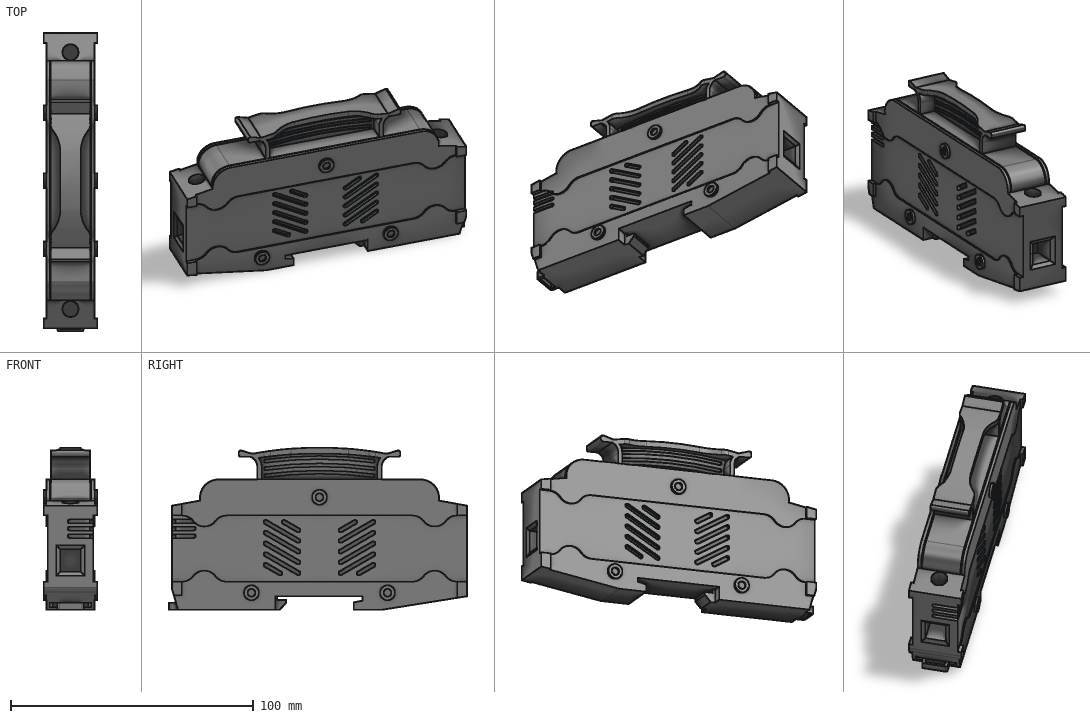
import cadquery as cq
import math


half_length = 61.0
half_width = 10.0
half_width_waist = 9.5
half_width_flange = 11.1
end_top_z = 43.0
shoulder_y = 49.5
shoulder_z = 45.1
top_z = 53.9
top_corner_radius = 7.8
flange_length = 4.2
flange_floor_z = 5.9

tail_z = 5.5
tail_slope_y = 26.2
nose_bend_top = 9.4
nose_bend_bottom = 7.5
nose_bend_y = -60.7
nose_foot_y = -58.5
rail_top_z = 5.5
rail_y_fixed = 17.8
rail_y_moving = -18.4
hook_tip_y = 14.1
hook_tip_z = 3.1
hook_root_z = 3.8

waist_low_z = 11.6
waist_high_z = 39.0
lobe_y = 47.6
lobe_half_length = 9.3
lobe_depth = 4.6

rivet_radius = 3.1
rivet_bore_radius = 1.6
rivet_bore_depth = 0.7
rivet_places = [(0, 46.5), (28.1, 7.0), (-28.1, 7.0)]

vent_width = 1.7
vent_depth = 1.6
vent_pitch = 4.5
vent_angle = 30
vent_outer_y = 22.2
vent_inner_y = 8.8
vent_short_run = 5.9
vent_top_z = 36.3
vent_count = 4

corner_vent_heights = [36.5, 33.5, 30.5]
corner_vent_width = 1.6
corner_vent_tip_x = -1.1
corner_vent_run = 9.9

window_width = 11.8
window_low_z = 14.1
window_high_z = 26.6
window_bevel = 1.6
window_bevel_depth = 1.0
window_depth = 11.1
screw_hole_y = 53.0
screw_hole_radius = 3.3
screw_hole_floor_z = 33.3

carrier_half_width = 8.1
gap_width = 0.4
gap_depth = 1.2

grip_peak_z = 67.1
grip_end_y = 27.8
grip_end_z = 64.5
grip_under_z = 64.6
pillar_y = 25.8
pillar_thickness = 1.9
pillar_flare_z = 59.2
flare_y = 25.2
flare_z = 62.8
lip_root_y = 28.5
lip_low_z = 63.2
lip_tip_y = 33.4
lip_top_z = 65.9
lip_round = 1.0
waist_half_width = 4.2
waist_end_y = 11.8
waist_bend_x = 7.0
waist_bend_y = 20.4
waist_shoulder_y = 23.3
web_half_width = 1.2
groove_depth = 0.5
groove_width = 1.4
groove_curve_radius = 170.2
groove_crown_heights = [62.9, 59.8, 56.9]
groove_end_y = 22.2

latch_half_width = 5.4
latch_height = 3.0
latch_tip_y = -62.3
latch_corner = 0.9
latch_slot_half_width = 4.1
latch_slot_start_y = -61.3
latch_slot_length = 1.9
latch_nub_y = -13.8
latch_nub_top_z = 4.1
latch_nub_edge_z = 2.8
latch_nub_foot_y = -16.4
latch_nub_back_y = -17.4
latch_guide_half_width = 8.5
latch_guide_floor_z = 1.1
latch_guide_step = 1.2
latch_guide_depth = 4.9


def block(x, y, z):
    """Box spanning the given (low, high) ranges."""
    size = [abs(b - a) for a, b in (x, y, z)]
    return cq.Workplane("XY").box(*size, centered=False).translate((min(x), min(y), min(z)))


def across(outline, half):
    """Extrude a YZ outline by the same amount to both sides of X = 0."""
    return outline.extrude(half, both=True)


def both_ends(shape):
    return shape.union(shape.mirror("XZ"))


def both_sides(shape):
    return shape.union(shape.mirror("YZ"))


def housing_outline():
    arc_mid = top_corner_radius * (1 - math.sqrt(0.5))
    arc_y = shoulder_y - top_corner_radius
    arc_z = top_z - top_corner_radius
    return (
        cq.Workplane("YZ")
        .moveTo(half_length, tail_z)
        .lineTo(half_length, end_top_z)
        .lineTo(shoulder_y, shoulder_z)
        .lineTo(shoulder_y, arc_z)
        .threePointArc((shoulder_y - arc_mid, top_z - arc_mid), (arc_y, top_z))
        .lineTo(-arc_y, top_z)
        .threePointArc((arc_mid - shoulder_y, top_z - arc_mid), (-shoulder_y, arc_z))
        .lineTo(-shoulder_y, shoulder_z)
        .lineTo(-half_length, end_top_z)
        .lineTo(-half_length, nose_bend_top)
        .tangentArcPoint((nose_bend_y, nose_bend_bottom), relative=False)
        .lineTo(nose_foot_y, 0)
        .lineTo(rail_y_moving, 0)
        .lineTo(rail_y_moving, rail_top_z)
        .lineTo(rail_y_fixed, rail_top_z)
        .lineTo(rail_y_fixed, hook_root_z)
        .lineTo(hook_tip_y, hook_tip_z)
        .lineTo(hook_tip_y, 0)
        .lineTo(tail_slope_y, 0)
        .close()
    )


def add_lobe(path, center_y, edge_z, run, depth):
    """S-shaped dip of equal arcs; run and depth carry the travel and dip signs."""
    radius = (run**2 + depth**2) / (4 * abs(depth))
    half_turn = math.atan(abs(depth / run))
    side = math.copysign(radius * math.sin(half_turn), run)
    drop = math.copysign(radius * (1 - math.cos(half_turn)), depth)
    middle_z = edge_z + depth / 2
    return (
        path.lineTo(center_y - run, edge_z)
        .threePointArc((center_y - run + side, edge_z + drop), (center_y - run / 2, middle_z))
        .threePointArc((center_y, edge_z + depth), (center_y + run / 2, middle_z))
        .threePointArc((center_y + run - side, edge_z + drop), (center_y + run, edge_z))
    )


def waist_recess():
    """Material to remove from the +X side between the wavy edges."""
    path = cq.Workplane("YZ", origin=(half_width_waist, 0, 0)).moveTo(-half_length, waist_low_z)
    for center_y in (-lobe_y, lobe_y):
        path = add_lobe(path, center_y, waist_low_z, lobe_half_length, lobe_depth)
    path = path.lineTo(half_length, waist_low_z).lineTo(half_length, waist_high_z)
    for center_y in (lobe_y, -lobe_y):
        path = add_lobe(path, center_y, waist_high_z, -lobe_half_length, -lobe_depth)
    path = path.lineTo(-half_length, waist_high_z).close()
    return path.extrude(half_width_flange)


def housing():
    body = across(housing_outline(), half_width)
    wide = across(housing_outline(), half_width_flange)
    x_range = (-half_width_flange, half_width_flange)
    inner_y = half_length - flange_length
    rear = block(x_range, (inner_y, half_length), (0, top_z))
    front = block(x_range, (-half_length, -inner_y), (flange_floor_z, top_z))
    body = body.union(wide.intersect(rear.union(front)))
    return body.cut(both_sides(waist_recess()))


def rivets():
    """Rivets through the full width with a blind bore in each head."""
    heads = across(cq.Workplane("YZ").pushPoints(rivet_places).circle(rivet_radius), half_width_flange)
    face = cq.Workplane("YZ", origin=(half_width_flange, 0, 0))
    bores = face.pushPoints(rivet_places).circle(rivet_bore_radius).extrude(-rivet_bore_depth)
    return heads.cut(both_sides(bores))


def vent(start_y, end_y, start_z):
    """Vent on the +X side, falling from start_y to the lower end_y."""
    run = start_y - end_y
    slope = math.tan(math.radians(vent_angle))
    length = run / math.cos(math.radians(vent_angle)) + vent_width
    return (
        cq.Workplane("YZ", origin=(half_width_waist, 0, 0))
        .center((start_y + end_y) / 2, start_z - run * slope / 2)
        .slot2D(length, vent_width, vent_angle)
        .extrude(-vent_depth)
    )


def side_vents():
    """Two mirrored groups on each side, the corners filled by short vents."""
    vents = vent(vent_inner_y + vent_short_run, vent_inner_y, vent_top_z)
    for row in range(vent_count):
        vents = vents.union(vent(vent_outer_y, vent_inner_y, vent_top_z - row * vent_pitch))
    last_z = vent_top_z - vent_count * vent_pitch
    vents = vents.union(vent(vent_outer_y, vent_outer_y - vent_short_run, last_z))
    return both_sides(both_ends(vents))


def corner_vent(z):
    """Vent that wraps from the -Y end onto the +X side, with rounded tips."""
    radius = corner_vent_width / 2
    z_range = (z - radius, z + radius)
    tip_x = corner_vent_tip_x + radius
    tip_y = -half_length + corner_vent_run - radius
    inner_x = half_width_waist - vent_depth
    face = block((tip_x, half_width_waist), (-half_length, -half_length + vent_depth), z_range)
    side = block((inner_x, half_width_waist), (-half_length, tip_y), z_range)
    face_tip = cq.Workplane("XZ", origin=(tip_x, -half_length, z)).circle(radius).extrude(-vent_depth)
    side_tip = cq.Workplane("YZ", origin=(inner_x, tip_y, z)).circle(radius).extrude(vent_depth)
    return face.union(side).union(face_tip).union(side_tip)


def terminal_window():
    """Funnel and blind rectangular passage for the wire at the -Y end."""
    height = window_high_z - window_low_z
    inner_width = window_width - 2 * window_bevel
    inner_height = height - 2 * window_bevel
    mouth = cq.Workplane("XZ", origin=(0, -half_length, (window_low_z + window_high_z) / 2))
    passage = mouth.rect(inner_width, inner_height).extrude(-window_depth)
    funnel = (
        mouth.rect(window_width, height)
        .workplane(offset=-window_bevel_depth)
        .rect(inner_width, inner_height)
        .loft(ruled=True)
    )
    return passage.union(funnel)


def screw_hole():
    hole = cq.Workplane("XY", origin=(0, -screw_hole_y, screw_hole_floor_z))
    return hole.circle(screw_hole_radius).extrude(top_z - screw_hole_floor_z)


def carrier_gap():
    """Thin groove that follows the raised middle, beside the fuse carrier."""
    radius = top_corner_radius - gap_depth
    core_y = shoulder_y - gap_depth
    gap_x = (carrier_half_width, carrier_half_width + gap_width)
    slab = block(gap_x, (-shoulder_y, shoulder_y), (shoulder_z, top_z))
    core = block((0, half_width), (-core_y, core_y), (0, top_z - gap_depth))
    return slab.cut(core.edges("|X and >Z").fillet(radius))


def handle_blank():
    """Arched grip with its lips, solid down to the carrier."""
    base_z = top_z - gap_depth
    rise = grip_peak_z - grip_end_z
    arch_radius = (grip_end_y**2 + rise**2) / (2 * rise)
    half = (
        cq.Workplane("YZ")
        .moveTo(0, base_z)
        .lineTo(pillar_y, base_z)
        .lineTo(pillar_y, pillar_flare_z)
        .tangentArcPoint((lip_root_y, lip_low_z), relative=False)
        .lineTo(lip_tip_y - lip_round, lip_low_z)
        .radiusArc((lip_tip_y, lip_low_z + lip_round), -lip_round)
        .lineTo(lip_tip_y, lip_top_z - lip_round)
        .radiusArc((lip_tip_y - lip_round, lip_top_z), -lip_round)
        .lineTo(grip_end_y, grip_end_z)
        .radiusArc((0, grip_peak_z), -arch_radius)
        .close()
    )
    return both_ends(across(half, carrier_half_width))


def handle_opening():
    """Finger space under the grip, between the pillars, on the +X side."""
    inner_y = pillar_y - pillar_thickness
    rise = grip_under_z - flare_z
    arch_radius = (flare_y**2 + rise**2) / (2 * rise)
    half = (
        cq.Workplane("YZ", origin=(web_half_width, 0, 0))
        .moveTo(0, top_z)
        .lineTo(inner_y, top_z)
        .lineTo(inner_y, pillar_flare_z)
        .tangentArcPoint((flare_y, flare_z), relative=False)
        .radiusArc((0, grip_under_z), -arch_radius)
        .close()
        .extrude(carrier_half_width)
    )
    return both_ends(half)


def grip_waist():
    """Side cut that narrows the grip on the +X side."""
    tilt = 2 * math.atan((waist_bend_x - waist_half_width) / (waist_bend_y - waist_end_y))
    hollow_radius = (waist_bend_y - waist_end_y) / math.sin(tilt)
    shoulder_radius = (waist_shoulder_y - waist_bend_y) / math.sin(tilt)
    rise = math.sin(tilt / 2)
    sag = 1 - math.cos(tilt / 2)
    hollow = (waist_half_width + hollow_radius * sag, waist_end_y + hollow_radius * rise)
    round_off = (carrier_half_width - shoulder_radius * sag, waist_shoulder_y - shoulder_radius * rise)
    return (
        cq.Workplane("XY", origin=(0, 0, top_z))
        .moveTo(half_width, -waist_shoulder_y)
        .lineTo(carrier_half_width, -waist_shoulder_y)
        .threePointArc((round_off[0], -round_off[1]), (waist_bend_x, -waist_bend_y))
        .threePointArc((hollow[0], -hollow[1]), (waist_half_width, -waist_end_y))
        .lineTo(waist_half_width, waist_end_y)
        .threePointArc(hollow, (waist_bend_x, waist_bend_y))
        .threePointArc(round_off, (carrier_half_width, waist_shoulder_y))
        .lineTo(half_width, waist_shoulder_y)
        .close()
        .extrude(grip_peak_z)
    )


def web_groove(crown_z):
    """Shallow arched groove with rounded ends on the +X face of the web."""
    center_z = crown_z - groove_curve_radius
    half_angle = math.asin(groove_end_y / groove_curve_radius)
    inner = groove_curve_radius - groove_width / 2
    outer = groove_curve_radius + groove_width / 2
    tip_angle = half_angle + groove_width / 2 / groove_curve_radius

    def spot(radius, angle):
        return (radius * math.sin(angle), center_z + radius * math.cos(angle))

    return (
        cq.Workplane("YZ", origin=(web_half_width, 0, 0))
        .moveTo(*spot(outer, -half_angle))
        .threePointArc(spot(outer, 0), spot(outer, half_angle))
        .threePointArc(spot(groove_curve_radius, tip_angle), spot(inner, half_angle))
        .threePointArc(spot(inner, 0), spot(inner, -half_angle))
        .threePointArc(spot(groove_curve_radius, -tip_angle), spot(outer, -half_angle))
        .close()
        .extrude(-groove_depth)
    )


def handle():
    body = handle_blank().cut(both_sides(handle_opening())).cut(both_sides(grip_waist()))
    for crown_z in groove_crown_heights:
        body = body.cut(both_sides(web_groove(crown_z)))
    return body


def latch_guide():
    """Stepped recess in the -Y end, around the latch."""
    mouth_y = nose_foot_y + latch_guide_step
    narrow = latch_guide_half_width - latch_guide_step
    z_range = (latch_guide_floor_z, latch_height)
    wide_part = block((-latch_guide_half_width, latch_guide_half_width), (-half_length, mouth_y), z_range)
    narrow_part = block((-narrow, narrow), (-half_length, mouth_y + latch_guide_depth), z_range)
    return wide_part.union(narrow_part)


def latch():
    """Pull tab at the -Y end and spring nub that hooks the rail."""
    x_range = (-latch_half_width, latch_half_width)
    tab_end_y = nose_foot_y + latch_guide_step + latch_guide_depth
    tab = block(x_range, (latch_tip_y, tab_end_y), (0, latch_height))
    tab = tab.edges("|Z and <Y").fillet(latch_corner)
    slot_x = (-latch_slot_half_width, latch_slot_half_width)
    slot_y = (latch_slot_start_y, latch_slot_start_y + latch_slot_length)
    tab = tab.cut(block(slot_x, slot_y, (0, latch_height)))
    nub = (
        cq.Workplane("YZ")
        .moveTo(rail_y_moving, 0)
        .lineTo(latch_nub_foot_y, 0)
        .lineTo(latch_nub_y, latch_nub_edge_z)
        .lineTo(latch_nub_y, latch_nub_top_z)
        .lineTo(latch_nub_back_y, latch_nub_top_z)
        .lineTo(latch_nub_back_y, rail_top_z)
        .lineTo(rail_y_moving, rail_top_z)
        .close()
    )
    return tab.union(across(nub, latch_half_width))


result = housing().union(rivets())
result = result.cut(side_vents())
for vent_z in corner_vent_heights:
    result = result.cut(corner_vent(vent_z))
result = result.cut(both_ends(terminal_window()))
result = result.cut(both_ends(screw_hole()))
result = result.cut(both_sides(carrier_gap()))
result = result.union(handle())
result = result.cut(latch_guide()).union(latch())